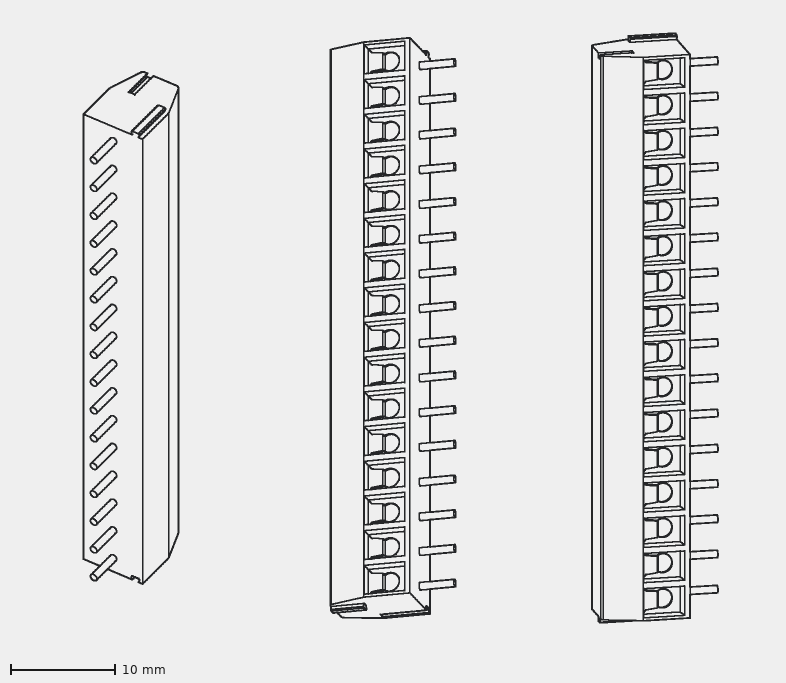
import cadquery as cq

TOTAL_LENGTH = 56.95
RAIL_HEIGHT = 0.45
POLES = 16
HOUSING_WIDTH = 6.8
TOTAL_DEPTH = 11.9
PIN_LENGTH = 3.5
HOUSING_DEPTH = TOTAL_DEPTH - PIN_LENGTH
HOUSING_LENGTH = TOTAL_LENGTH - 2 * RAIL_HEIGHT
PITCH = HOUSING_LENGTH / POLES
HALF_WIDTH = HOUSING_WIDTH / 2

TAPER_DEPTH = 3.8
TAPER_INSET = 1.3
TAPER_START = HOUSING_DEPTH - TAPER_DEPTH
BACK_CHAMFER = 0.15

PIN_DIAMETER = 0.75
PIN_OFFSET = 0.05

RAIL_HEAD = 0.95
RAIL_NECK = 0.7
RAIL_TIP = 0.7
RAIL_WIDEST_HEIGHT = 0.35
FRONT_RAIL_X = 2.55
BACK_RAIL_X = -1.2
BACK_RAIL_LENGTH = 3.3

POCKET_DEPTH = 1.3
POCKET_HEIGHT = 2.9
FRONT_LAND = 0.5
FRONT_WALL_DRAFT = 0.15
POCKET_BACK = TAPER_START - 0.05
POCKET_FLOOR_X = POCKET_DEPTH - HALF_WIDTH

GUIDE_HEIGHT = 0.35
GUIDE_ROUNDING = 0.45
GUIDE_BULGE = 0.05
GUIDE_WIDTH = 1.9
GUIDE_FRONT_WIDTH = 1.6
GUIDE_FRONT = 2.85
GUIDE_BEVEL = 0.15

OPENING_DIAMETER = 1.9
OPENING_Y = 2.4
OPENING_DEPTH = 0.2
SHOULDER_HEIGHT = GUIDE_FRONT_WIDTH
SHOULDER_LENGTH = GUIDE_FRONT - OPENING_Y


def make_housing():
    outline = [
        (-HALF_WIDTH, 0),
        (HALF_WIDTH, 0),
        (HALF_WIDTH, TAPER_START),
        (HALF_WIDTH - TAPER_INSET, HOUSING_DEPTH),
        (TAPER_INSET - HALF_WIDTH, HOUSING_DEPTH),
        (-HALF_WIDTH, TAPER_START),
    ]
    block = cq.Workplane("XY").polyline(outline).close().extrude(HOUSING_LENGTH)
    return block.faces(">Y").edges("|Z").chamfer(BACK_CHAMFER)


def make_dovetail(centre_x, start_y, length, base_z, direction):
    """Bar along Y with its narrow neck at base_z and its wider head towards direction."""
    head_z = base_z + direction * RAIL_WIDEST_HEIGHT
    tip_z = base_z + direction * RAIL_HEIGHT
    profile = [
        (centre_x - RAIL_NECK / 2, base_z),
        (centre_x + RAIL_NECK / 2, base_z),
        (centre_x + RAIL_HEAD / 2, head_z),
        (centre_x + RAIL_TIP / 2, tip_z),
        (centre_x - RAIL_TIP / 2, tip_z),
        (centre_x - RAIL_HEAD / 2, head_z),
    ]
    plane = cq.Workplane("XZ", origin=(0, start_y, 0))
    return plane.polyline(profile).close().extrude(-length)


def make_front_dovetail(base_z):
    return make_dovetail(FRONT_RAIL_X, 0, TAPER_START, base_z, 1)


def make_back_dovetail(base_z):
    start_y = HOUSING_DEPTH - BACK_RAIL_LENGTH
    return make_dovetail(BACK_RAIL_X, start_y, BACK_RAIL_LENGTH, base_z, -1)


def make_recess(centre_z):
    """Pocket volume with a front wall that leans outward towards the mouth."""
    plan = [
        (-HALF_WIDTH, FRONT_LAND),
        (POCKET_FLOOR_X, FRONT_LAND + FRONT_WALL_DRAFT),
        (POCKET_FLOOR_X, POCKET_BACK),
        (-HALF_WIDTH, POCKET_BACK),
    ]
    base = cq.Workplane("XY", origin=(0, 0, centre_z - POCKET_HEIGHT / 2))
    return base.polyline(plan).close().extrude(POCKET_HEIGHT)


def make_guide(centre_z):
    """Raised guide, as wide as the pocket at its back wall and narrowing towards the wire opening."""
    rounding_end = POCKET_BACK - GUIDE_ROUNDING
    top_x = POCKET_FLOOR_X - GUIDE_HEIGHT
    face_outline = [
        (POCKET_BACK, -POCKET_HEIGHT / 2),
        (rounding_end, -GUIDE_WIDTH / 2),
        (GUIDE_FRONT, -GUIDE_FRONT_WIDTH / 2),
        (GUIDE_FRONT, GUIDE_FRONT_WIDTH / 2),
        (rounding_end, GUIDE_WIDTH / 2),
        (POCKET_BACK, POCKET_HEIGHT / 2),
    ]
    floor = cq.Workplane("YZ", origin=(POCKET_FLOOR_X, 0, centre_z))
    prism = floor.polyline(face_outline).close().extrude(-GUIDE_HEIGHT)
    arc_middle = (
        POCKET_FLOOR_X - GUIDE_HEIGHT / 2 - GUIDE_BULGE,
        POCKET_BACK - GUIDE_ROUNDING / 2 + GUIDE_BULGE,
    )
    side = (
        cq.Workplane("XY", origin=(0, 0, centre_z - POCKET_HEIGHT / 2))
        .moveTo(POCKET_FLOOR_X, POCKET_BACK)
        .threePointArc(arc_middle, (top_x, rounding_end))
        .lineTo(top_x, GUIDE_FRONT + GUIDE_BEVEL)
        .lineTo(POCKET_FLOOR_X, GUIDE_FRONT)
        .close()
        .extrude(POCKET_HEIGHT)
    )
    return prism.intersect(side)


def make_opening(centre_z):
    floor = cq.Workplane("YZ", origin=(POCKET_FLOOR_X, OPENING_Y, centre_z))
    round_part = floor.circle(OPENING_DIAMETER / 2).extrude(OPENING_DEPTH)
    shoulder = floor.center(SHOULDER_LENGTH / 2, 0).rect(SHOULDER_LENGTH, SHOULDER_HEIGHT)
    return round_part.union(shoulder.extrude(OPENING_DEPTH))


def make_pocket(centre_z):
    """Everything removed from the housing for one pole."""
    return make_recess(centre_z).cut(make_guide(centre_z)).union(make_opening(centre_z))


def make_pin(centre_z):
    face = cq.Workplane("XZ", origin=(PIN_OFFSET, 0, centre_z))
    return face.circle(PIN_DIAMETER / 2).extrude(PIN_LENGTH)


result = make_housing()
result = result.cut(make_front_dovetail(0))
result = result.cut(make_back_dovetail(HOUSING_LENGTH))
result = result.union(make_front_dovetail(HOUSING_LENGTH))
result = result.union(make_back_dovetail(0))

for pole in range(POLES):
    pole_z = (pole + 0.5) * PITCH
    result = result.cut(make_pocket(pole_z))
    result = result.union(make_pin(pole_z))